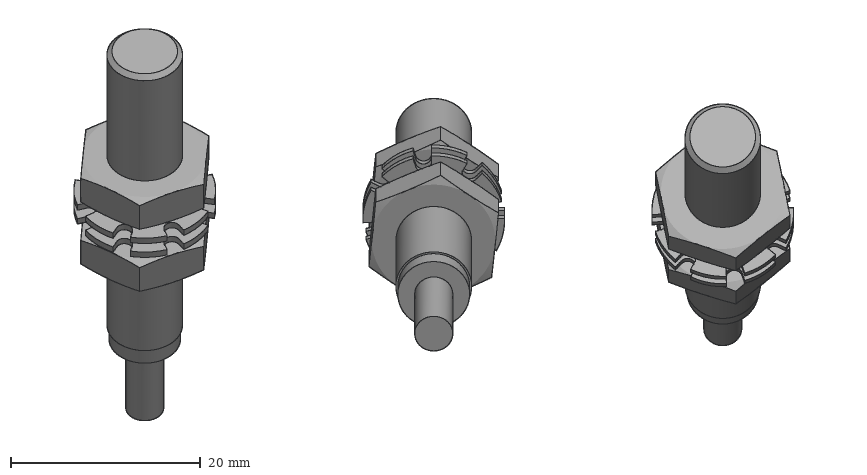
import cadquery as cq
import math

TOTAL_HEIGHT = 51.6
BARREL_DIAMETER = 8.0
TOP_FACE_DIAMETER = 6.9
TOP_CHAMFER_HEIGHT = 0.5
CABLE_DIAMETER = 4.0
CABLE_LENGTH = 10.0
COLLAR_DIAMETER = 7.6
COLLAR_HEIGHT = 2.0
BARREL_BASE_Z = CABLE_LENGTH + COLLAR_HEIGHT

NUT_ACROSS_FLATS = 13.0
NUT_ACROSS_CORNERS = NUT_ACROSS_FLATS / math.cos(math.radians(30))
NUT_HEIGHT = 4.0
NUT_CHAMFER_DROP = 0.3
UPPER_NUT_Z = 32.55
LOWER_NUT_Z = 23.6

WASHER_DIAMETER = 14.95
WASHER_BORE = 8.4
WASHER_THICKNESS = 0.75
LOWER_WASHER_Z = 28.8
WASHER_PITCH = 2.0
WASHER_COUNT = 2
NOTCH_COUNT = 8
NOTCH_HALF_ANGLE = math.radians(7.5)
NOTCH_SIDE_END_RADIUS = 6.5
NOTCH_ROOT_RADIUS = 5.75
NOTCH_OVERRUN = 0.5


def make_sensor():
    """One turned body: cable, collar and barrel with a chamfered top."""
    sensor = cq.Workplane("XY").circle(CABLE_DIAMETER / 2).extrude(CABLE_LENGTH)
    collar = (
        cq.Workplane("XY", origin=(0, 0, CABLE_LENGTH))
        .circle(COLLAR_DIAMETER / 2)
        .extrude(COLLAR_HEIGHT)
    )
    barrel = (
        cq.Workplane("XY", origin=(0, 0, BARREL_BASE_Z))
        .circle(BARREL_DIAMETER / 2)
        .extrude(TOTAL_HEIGHT - BARREL_BASE_Z)
        .faces(">Z")
        .edges()
        .chamfer(TOP_CHAMFER_HEIGHT, (BARREL_DIAMETER - TOP_FACE_DIAMETER) / 2)
    )
    return sensor.union(collar).union(barrel)


def make_nut(base_z):
    """Hexagon nut with conical corner chamfers at both ends, fitted to the barrel."""
    hexagon = (
        cq.Workplane("XY")
        .polygon(6, NUT_ACROSS_CORNERS)
        .circle(BARREL_DIAMETER / 2)
        .extrude(NUT_HEIGHT)
        .rotate((0, 0, 0), (0, 0, 1), 90)
    )
    face_radius = NUT_ACROSS_FLATS / 2
    corner_radius = NUT_ACROSS_CORNERS / 2
    chamfer_envelope = (
        cq.Workplane("XZ")
        .moveTo(0, 0)
        .lineTo(face_radius, 0)
        .lineTo(corner_radius, NUT_CHAMFER_DROP)
        .lineTo(corner_radius, NUT_HEIGHT - NUT_CHAMFER_DROP)
        .lineTo(face_radius, NUT_HEIGHT)
        .lineTo(0, NUT_HEIGHT)
        .close()
        .revolve(360, (0, 0, 0), (0, 1, 0))
    )
    return hexagon.intersect(chamfer_envelope).translate((0, 0, base_z))


def make_notch_cutter():
    """Notch on the +X side: radial sides that end in a concave round root."""
    slope = math.tan(NOTCH_HALF_ANGLE)
    inner_x = NOTCH_SIDE_END_RADIUS * math.cos(NOTCH_HALF_ANGLE)
    outer_x = WASHER_DIAMETER / 2 + NOTCH_OVERRUN
    return (
        cq.Workplane("XY")
        .moveTo(outer_x, outer_x * slope)
        .lineTo(inner_x, inner_x * slope)
        .threePointArc((NOTCH_ROOT_RADIUS, 0), (inner_x, -inner_x * slope))
        .lineTo(outer_x, -outer_x * slope)
        .close()
        .extrude(WASHER_THICKNESS)
    )


def make_washer(base_z):
    """Flat ring with evenly spaced notches around its rim."""
    washer = (
        cq.Workplane("XY")
        .circle(WASHER_DIAMETER / 2)
        .circle(WASHER_BORE / 2)
        .extrude(WASHER_THICKNESS)
    )
    notch = make_notch_cutter()
    notch_step = 360 / NOTCH_COUNT
    for index in range(NOTCH_COUNT):
        washer = washer.cut(notch.rotate((0, 0, 0), (0, 0, 1), index * notch_step))
    return washer.translate((0, 0, base_z))


sensor = make_sensor()
nuts = [make_nut(z) for z in (LOWER_NUT_Z, UPPER_NUT_Z)]
washers = [make_washer(LOWER_WASHER_Z + index * WASHER_PITCH) for index in range(WASHER_COUNT)]

result = cq.Compound.makeCompound(
    [sensor.val(), *[nut.val() for nut in nuts], *[washer.val() for washer in washers]]
)